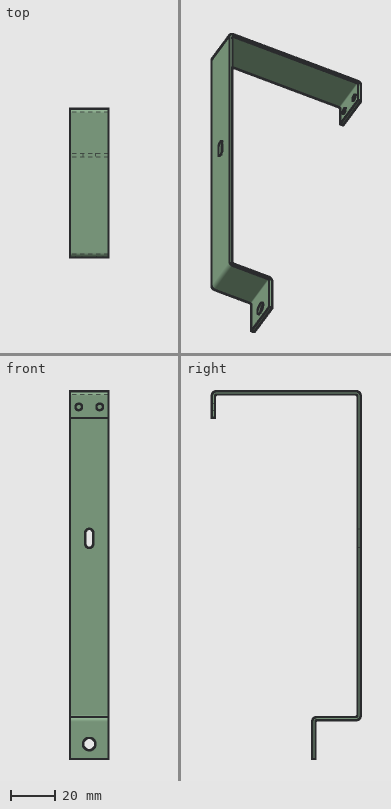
import cadquery as cq

height = 166.5
depth = 67.5
width = 17.5
thickness = 1.58
inner_bend_radius = 0.58
outer_bend_radius = inner_bend_radius + thickness

lip_length = 12.2
foot_depth = 22.0
shelf_top = 19.1

lip_hole_diameter = 3.0
lip_hole_spacing = 9.5
lip_hole_drop = 7.2
slot_width = 3.5
slot_length = 8.5
slot_height = 99.9
foot_hole_diameter = 5.5
foot_hole_height = 6.8

wall_front = depth - thickness
foot_front = depth - foot_depth
foot_back = foot_front + thickness
shelf_bottom = shelf_top - thickness
top_bottom = height - thickness
lip_bottom = height - lip_length


def bent_strip():
    """Side profile of the strip, extruded over its width, with rounded bends."""
    outline = [
        (0, lip_bottom),
        (0, height),
        (depth, height),
        (depth, shelf_bottom),
        (foot_back, shelf_bottom),
        (foot_back, 0),
        (foot_front, 0),
        (foot_front, shelf_top),
        (wall_front, shelf_top),
        (wall_front, top_bottom),
        (thickness, top_bottom),
        (thickness, lip_bottom),
    ]
    strip = cq.Workplane("YZ").polyline(outline).close().extrude(width / 2, both=True)
    outer_corners = [(0, height), (depth, height), (depth, shelf_bottom), (foot_front, shelf_top)]
    inner_corners = [
        (thickness, top_bottom),
        (wall_front, top_bottom),
        (wall_front, shelf_top),
        (foot_back, shelf_bottom),
    ]
    strip = round_bends(strip, outer_corners, outer_bend_radius)
    return round_bends(strip, inner_corners, inner_bend_radius)


def round_bends(strip, corners, radius):
    """Fillet the bend edges that run across the strip at the given (y, z) corners."""
    for y, z in corners:
        edge = strip.edges("|X").edges(cq.selectors.NearestToPointSelector((0, y, z)))
        strip = edge.fillet(radius)
    return strip


def flange_plane(front_y):
    """Sketch plane on the front face of an upright flange; extruding backwards cuts in."""
    return cq.Workplane("XZ", origin=(0, front_y, 0))


lip_holes = (
    flange_plane(0)
    .pushPoints([(side * lip_hole_spacing / 2, height - lip_hole_drop) for side in (-1, 1)])
    .circle(lip_hole_diameter / 2)
    .extrude(-thickness)
)
wall_slot = (
    flange_plane(wall_front)
    .center(0, slot_height)
    .slot2D(slot_length, slot_width, 90)
    .extrude(-thickness)
)
foot_hole = (
    flange_plane(foot_front)
    .center(0, foot_hole_height)
    .circle(foot_hole_diameter / 2)
    .extrude(-thickness)
)

result = bent_strip().cut(lip_holes).cut(wall_slot).cut(foot_hole)